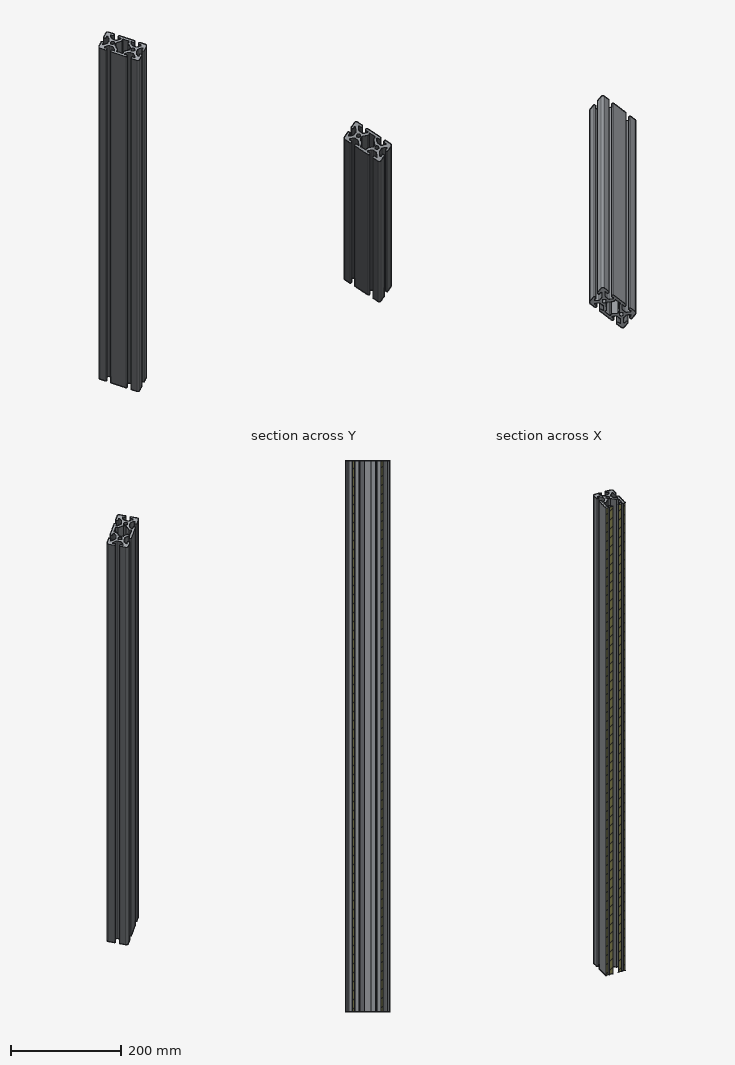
import cadquery as cq
MODULE = 40.0
WIDTH = 2 * MODULE
DEPTH = MODULE
LENGTH = 1000.0
CORNER_RADIUS = 4.0

SLOT_OPENING = 8.0
LIP_THICKNESS = 4.6
LIP_OUTER_RADIUS = 1.45
LIP_INNER_RADIUS = 1.2
CAVITY_WIDTH = 20.0
CAVITY_SIDE_DEPTH = 6.2
CAVITY_CORNER_RADIUS = 0.5
FLANK_RADIUS = 3.5
SLOT_DEPTH = 12.0
FLOOR_RADIUS = 4.0

CORE_HOLE_DIAMETER = 6.8
MODULE_CENTRES = [-MODULE / 2, MODULE / 2]

CHAMBER_HALF_WIDTH = 14.0
CHAMBER_HALF_DEPTH = 15.0
CHAMBER_NECK_HALF_WIDTH = 6.0
CHAMBER_SIDE_HALF_HEIGHT = 2.3
CHAMBER_SHOULDER_Y = CHAMBER_SIDE_HALF_HEIGHT + CHAMBER_HALF_WIDTH - CHAMBER_NECK_HALF_WIDTH


def outer_block():
    """Solid bar with rounded long corners."""
    bar = cq.Workplane("XY").rect(WIDTH, DEPTH).extrude(LENGTH)
    return bar.edges("|Z").fillet(CORNER_RADIUS)


def slot_cutter():
    """T-slot opening onto y = 0 and reaching inward along -Y, with 45 degree flanks."""
    mouth = SLOT_OPENING / 2
    cavity = CAVITY_WIDTH / 2
    floor = cavity - (SLOT_DEPTH - CAVITY_SIDE_DEPTH)
    cutter = (
        cq.Workplane("XY")
        .moveTo(-mouth - LIP_OUTER_RADIUS, 0)
        .radiusArc((-mouth, -LIP_OUTER_RADIUS), LIP_OUTER_RADIUS)
        .lineTo(-mouth, LIP_INNER_RADIUS - LIP_THICKNESS)
        .radiusArc((-mouth - LIP_INNER_RADIUS, -LIP_THICKNESS), LIP_INNER_RADIUS)
        .lineTo(-cavity, -LIP_THICKNESS)
        .lineTo(-cavity, -CAVITY_SIDE_DEPTH)
        .lineTo(-floor, -SLOT_DEPTH)
        .lineTo(floor, -SLOT_DEPTH)
        .lineTo(cavity, -CAVITY_SIDE_DEPTH)
        .lineTo(cavity, -LIP_THICKNESS)
        .lineTo(mouth + LIP_INNER_RADIUS, -LIP_THICKNESS)
        .radiusArc((mouth, LIP_INNER_RADIUS - LIP_THICKNESS), LIP_INNER_RADIUS)
        .lineTo(mouth, -LIP_OUTER_RADIUS)
        .radiusArc((mouth + LIP_OUTER_RADIUS, 0), LIP_OUTER_RADIUS)
        .close()
        .extrude(LENGTH)
    )
    cutter = cutter.faces("<X or >X").edges("|Z").edges("<Y").fillet(FLANK_RADIUS)
    cutter = cutter.faces("<X or >X").edges("|Z").edges(">Y").fillet(CAVITY_CORNER_RADIUS)
    return cutter.faces("<Y").edges("|Z").fillet(FLOOR_RADIUS)


def cut_slots(body):
    """One slot on each short side and two on each long side."""
    cutter = slot_cutter()
    for turn in (0, 180):
        for x in MODULE_CENTRES:
            long_side = cutter.translate((x, DEPTH / 2, 0))
            body = body.cut(long_side.rotate((0, 0, 0), (0, 0, 1), turn))
        short_side = cutter.translate((0, WIDTH / 2, 0))
        body = body.cut(short_side.rotate((0, 0, 0), (0, 0, 1), turn + 90))
    return body


def core_holes():
    """Round holes running the full length through both cores."""
    centres = [(x, 0) for x in MODULE_CENTRES]
    return cq.Workplane("XY").pushPoints(centres).circle(CORE_HOLE_DIAMETER / 2).extrude(LENGTH)


def central_chamber():
    """Hollow between the modules, symmetric about both axes."""
    upper_right = [
        (CHAMBER_HALF_WIDTH, CHAMBER_SIDE_HALF_HEIGHT),
        (CHAMBER_NECK_HALF_WIDTH, CHAMBER_SHOULDER_Y),
        (CHAMBER_NECK_HALF_WIDTH, CHAMBER_HALF_DEPTH),
    ]
    upper = upper_right + [(-x, y) for x, y in reversed(upper_right)]
    lower = [(-x, -y) for x, y in upper]
    return cq.Workplane("XY").polyline(upper + lower).close().extrude(LENGTH)


result = cut_slots(outer_block()).cut(core_holes()).cut(central_chamber())